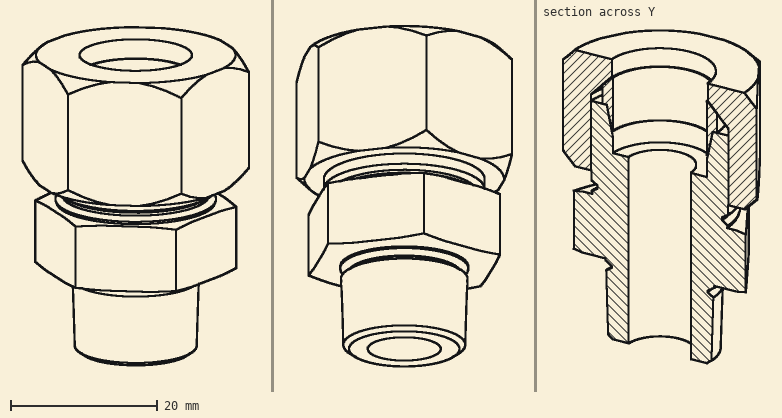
import cadquery as cq
import math

TOTAL_HEIGHT = 42.0
NUT_BOTTOM_Z = 24.5
HEX_TOP_Z = 21.1
HEX_BOTTOM_Z = 11.85

NUT_ACROSS_FLATS = 27.0
NUT_BEVEL_RADIUS = 13.65
NUT_BEVEL_ANGLE = 45.0
NUT_HOLE_RADIUS = 7.7
NUT_HOLE_DEPTH = 2.75
SHOULDER_ANGLE = 45.0

BODY_ACROSS_FLATS = 24.0
BODY_BEVEL_RADIUS = 12.4
BODY_BEVEL_ANGLE = 10.0
BODY_TOP_Z = 35.0
BORE_RADIUS = 5.0
TUBE_RADIUS = 7.5
SOCKET_DEPTH = 7.0
SEAT_MOUTH_RADIUS = 8.5
SEAT_ANGLE = 12.0
THREAD_RADIUS = 11.0

UPPER_GROOVE_RADIUS = 10.05
UPPER_GROOVE_WIDTH = 0.4
UPPER_GROOVE_Z = 22.05
THREAD_END_Z = 23.0
COLLAR_TOP_Z = 21.45
UPPER_COLLAR_FOOT_RADIUS = 10.85

LOWER_COLLAR_RADIUS = 8.78
LOWER_COLLAR_HEIGHT = 0.25
LOWER_GROOVE_RADIUS = 7.73
LOWER_GROOVE_WIDTH = 0.13
LOWER_GROOVE_Z = 10.75

FOOT_TOP_RADIUS = 8.65
FOOT_TOP_Z = 10.12
FOOT_TAPER = 1 / 32
FOOT_CHAMFER_HEIGHT = 0.6
FOOT_END_RADIUS = 7.55

RING_RIM_RADIUS = 9.25
RING_TIP_RADIUS = 7.7


def tangent(degrees):
    return math.tan(math.radians(degrees))


def revolved(profile):
    """Solid of revolution about Z from (radius, height) points."""
    return cq.Workplane("XZ").polyline(profile).close().revolve(360, (0, 0, 0), (0, 1, 0))


def beveled_hexagon(across_flats, bottom_z, top_z, bevel_radius, bevel_angle):
    """Hexagonal prism with corners along X, its corners beveled at both ends."""
    corner_radius = across_flats / math.sqrt(3)
    bevel_height = (corner_radius - bevel_radius) * tangent(bevel_angle)
    prism = (
        cq.Workplane("XY")
        .workplane(offset=bottom_z)
        .polygon(6, 2 * corner_radius)
        .extrude(top_z - bottom_z)
    )
    envelope = revolved([
        (0, bottom_z),
        (bevel_radius, bottom_z),
        (corner_radius, bottom_z + bevel_height),
        (corner_radius, top_z - bevel_height),
        (bevel_radius, top_z),
        (0, top_z),
    ])
    return prism.intersect(envelope)


SHOULDER_Z = TOTAL_HEIGHT - NUT_HOLE_DEPTH


def make_nut():
    shoulder_height = (THREAD_RADIUS - NUT_HOLE_RADIUS) / tangent(SHOULDER_ANGLE)
    cavity = revolved([
        (0, NUT_BOTTOM_Z),
        (THREAD_RADIUS, NUT_BOTTOM_Z),
        (THREAD_RADIUS, SHOULDER_Z - shoulder_height),
        (NUT_HOLE_RADIUS, SHOULDER_Z),
        (NUT_HOLE_RADIUS, TOTAL_HEIGHT),
        (0, TOTAL_HEIGHT),
    ])
    outside = beveled_hexagon(
        NUT_ACROSS_FLATS, NUT_BOTTOM_Z, TOTAL_HEIGHT, NUT_BEVEL_RADIUS, NUT_BEVEL_ANGLE
    )
    return outside.cut(cavity)


def make_body():
    foot_end_taper_radius = FOOT_TOP_RADIUS - (FOOT_TOP_Z - FOOT_CHAMFER_HEIGHT) * FOOT_TAPER
    lower_collar_z = HEX_BOTTOM_Z - LOWER_COLLAR_HEIGHT
    turned = revolved([
        (0, 0),
        (FOOT_END_RADIUS, 0),
        (foot_end_taper_radius, FOOT_CHAMFER_HEIGHT),
        (FOOT_TOP_RADIUS, FOOT_TOP_Z),
        (LOWER_GROOVE_RADIUS, LOWER_GROOVE_Z),
        (LOWER_GROOVE_RADIUS, LOWER_GROOVE_Z + LOWER_GROOVE_WIDTH),
        (LOWER_COLLAR_RADIUS, lower_collar_z),
        (LOWER_COLLAR_RADIUS, HEX_BOTTOM_Z),
        (UPPER_COLLAR_FOOT_RADIUS, HEX_TOP_Z),
        (THREAD_RADIUS, COLLAR_TOP_Z),
        (UPPER_GROOVE_RADIUS, UPPER_GROOVE_Z),
        (UPPER_GROOVE_RADIUS, UPPER_GROOVE_Z + UPPER_GROOVE_WIDTH),
        (THREAD_RADIUS, THREAD_END_Z),
        (THREAD_RADIUS, BODY_TOP_Z),
        (0, BODY_TOP_Z),
    ])
    hexagon = beveled_hexagon(
        BODY_ACROSS_FLATS, HEX_BOTTOM_Z, HEX_TOP_Z, BODY_BEVEL_RADIUS, BODY_BEVEL_ANGLE
    )
    seat_depth = (SEAT_MOUTH_RADIUS - TUBE_RADIUS) / tangent(SEAT_ANGLE)
    passage = revolved([
        (0, 0),
        (BORE_RADIUS, 0),
        (BORE_RADIUS, BODY_TOP_Z - SOCKET_DEPTH),
        (TUBE_RADIUS, BODY_TOP_Z - SOCKET_DEPTH),
        (TUBE_RADIUS, BODY_TOP_Z - seat_depth),
        (SEAT_MOUTH_RADIUS, BODY_TOP_Z),
        (0, BODY_TOP_Z),
    ])
    return turned.union(hexagon).cut(passage)


def make_cutting_ring():
    rim_top_z = SHOULDER_Z - (RING_RIM_RADIUS - NUT_HOLE_RADIUS) / tangent(SHOULDER_ANGLE)
    tip_z = BODY_TOP_Z - (SEAT_MOUTH_RADIUS - RING_TIP_RADIUS) / tangent(SEAT_ANGLE)
    return revolved([
        (TUBE_RADIUS, tip_z),
        (RING_TIP_RADIUS, tip_z),
        (SEAT_MOUTH_RADIUS, BODY_TOP_Z),
        (RING_RIM_RADIUS, BODY_TOP_Z),
        (RING_RIM_RADIUS, rim_top_z),
        (NUT_HOLE_RADIUS, SHOULDER_Z),
        (TUBE_RADIUS, SHOULDER_Z),
    ])


nut = make_nut()
body = make_body()
cutting_ring = make_cutting_ring()

result = cq.Compound.makeCompound([nut.val(), body.val(), cutting_ring.val()])